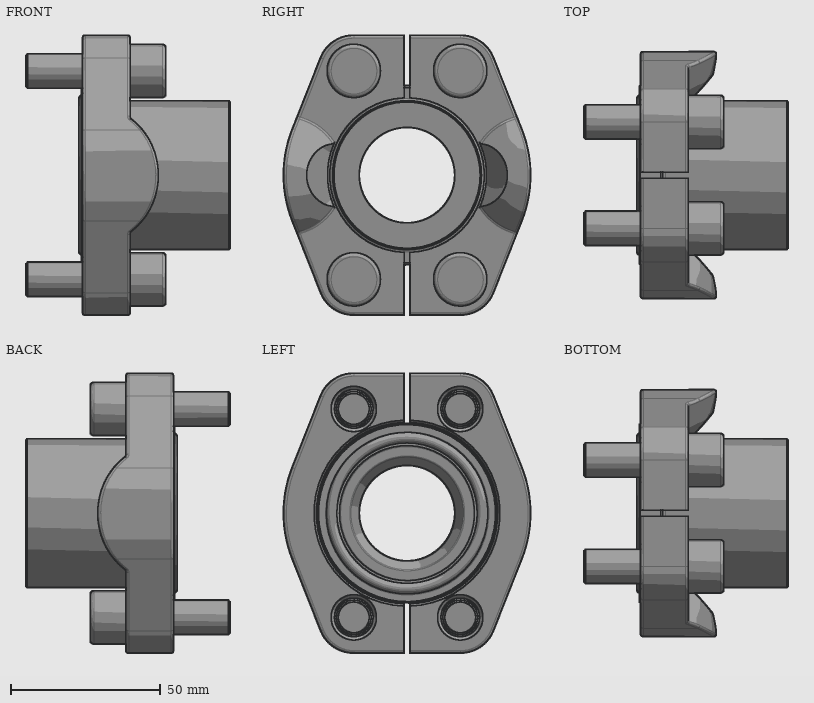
import cadquery as cq
import math


clamp_thickness = 16.0
clamp_height = 94.0
clamp_width = 83.0
clamp_gap = 2.0
rim_radius = 0.9
side_radius = clamp_width / 2

screw_y = 17.9
screw_z = 35.0
corner_radius = clamp_height / 2 - screw_z

screw_hole_diameter = 13.0
screw_hole_chamfer = 1.1

boss_radius = 25.5
boss_centre_y = 41.4
relief_start_radius = 26.7
relief_half_angle = 40.0

recess_diameter = 60.9
recess_chamfer = 0.75
clearance_diameter = 51.9

hub_length = 50.0
hub_projection = 0.5
hub_front = -hub_projection
hub_end = hub_front + hub_length
pipe_diameter = 50.0
pipe_end_chamfer = 0.5
collar_diameter = 60.35
collar_back = 7.5
collar_front_chamfer = 0.5
collar_back_chamfer = 0.75
collar_root_fillet = 0.75

bore_diameter = 32.0
mouth_diameter = 38.1
mouth_length = 5.0
mouth_fillet = 0.5
throat_fillet = 1.4

groove_outer_diameter = 54.2
groove_inner_diameter = 45.3
groove_depth = 2.7
groove_edge_fillet = 0.3

ring_thickness = 3.6

screw_length = 35.0
screw_diameter = 11.7
screw_tip_chamfer = 0.7
head_diameter = 18.0
head_height = 12.0
head_edge_fillet = 1.3
underhead_fillet = (screw_hole_diameter - screw_diameter) / 2


def cylinder_x(diameter, start, end, y=0, z=0):
    """Cylinder along X from start to end."""
    return cq.Workplane("YZ", origin=(start, y, z)).circle(diameter / 2).extrude(end - start)


def cone_x(start_radius, end_radius, start, end, y=0, z=0):
    """Cone along X whose radius changes from start_radius to end_radius."""
    base = cq.Vector(start, y, z)
    along_x = cq.Vector(1, 0, 0)
    return cq.Workplane(cq.Solid.makeCone(start_radius, end_radius, end - start, base, along_x))


def fillet_circle(body, x, diameter, radius):
    """Round the circular edge of the given diameter whose centre is at x."""
    tolerance = 0.01

    def is_wanted(edge):
        return (
            edge.geomType() == "CIRCLE"
            and abs(edge.Center().x - x) < tolerance
            and abs(edge.radius() - diameter / 2) < tolerance
        )

    return body.edges().filter(is_wanted).fillet(radius)




def half_outline():
    """Outline of the +Y half: a side arc about the pipe axis and corner arcs about the screws."""
    screw_distance = math.hypot(screw_y, screw_z)
    screw_angle = math.atan2(screw_z, screw_y)
    flank_angle = screw_angle - math.acos((side_radius - corner_radius) / screw_distance)
    middle_angle = (flank_angle + math.pi / 2) / 2

    side_y = side_radius * math.cos(flank_angle)
    side_z = side_radius * math.sin(flank_angle)
    corner_y = screw_y + corner_radius * math.cos(flank_angle)
    corner_z = screw_z + corner_radius * math.sin(flank_angle)
    middle_y = screw_y + corner_radius * math.cos(middle_angle)
    middle_z = screw_z + corner_radius * math.sin(middle_angle)
    split_y = clamp_gap / 2
    top_z = clamp_height / 2
    return (
        cq.Workplane("YZ")
        .moveTo(split_y, top_z)
        .lineTo(screw_y, top_z)
        .threePointArc((middle_y, middle_z), (corner_y, corner_z))
        .lineTo(side_y, side_z)
        .threePointArc((side_radius, 0), (side_y, -side_z))
        .lineTo(corner_y, -corner_z)
        .threePointArc((middle_y, -middle_z), (screw_y, -top_z))
        .lineTo(split_y, -top_z)
        .close()
    )


def clamp_blank():
    """Plate with its ball-shaped boss; the outer rims and the root of the boss are rounded."""
    ball = cq.Workplane(origin=(0, boss_centre_y, 0)).sphere(boss_radius)
    boss = half_outline().extrude(boss_radius).intersect(ball)
    blank = half_outline().extrude(clamp_thickness).union(boss)
    rims = blank.edges("not |X").filter(lambda edge: edge.Center().y > clamp_gap)
    return rims.fillet(rim_radius)


def pipe_passage():
    """Space for the hub: chamfered recess, hole around the pipe and relief of the bosses."""
    recess_radius = recess_diameter / 2
    relief_length = boss_radius - clamp_thickness
    relief_growth = relief_length * math.tan(math.radians(relief_half_angle))
    mouth = cone_x(recess_radius + recess_chamfer, recess_radius, 0, recess_chamfer)
    recess = cylinder_x(recess_diameter, 0, collar_back)
    hole = cylinder_x(clearance_diameter, 0, clamp_thickness)
    relief = cone_x(
        relief_start_radius, relief_start_radius + relief_growth, clamp_thickness, boss_radius
    )
    return mouth.union(recess).union(hole).union(relief)


def screw_hole(y, z):
    """Through hole with a chamfer at the front face."""
    radius = screw_hole_diameter / 2
    hole = cylinder_x(screw_hole_diameter, 0, clamp_thickness, y, z)
    chamfer = cone_x(radius + screw_hole_chamfer, radius, 0, screw_hole_chamfer, y, z)
    return hole.union(chamfer)


def clamp_half():
    """The +Y half of the split clamp."""
    half = clamp_blank().cut(pipe_passage())
    for z in (-screw_z, screw_z):
        half = half.cut(screw_hole(screw_y, z))
    return half




def hub():
    """Pipe stub with a collar, a bore with a tapered mouth and an O-ring groove."""
    pipe = cylinder_x(pipe_diameter, hub_front, hub_end).faces(">X").chamfer(pipe_end_chamfer)
    collar = cylinder_x(collar_diameter, hub_front, collar_back)
    collar = collar.faces("<X").chamfer(collar_front_chamfer)
    collar = collar.faces(">X").chamfer(collar_back_chamfer)
    body = fillet_circle(pipe.union(collar), collar_back, pipe_diameter, collar_root_fillet)

    mouth_end = hub_front + mouth_length
    body = body.cut(cylinder_x(bore_diameter, hub_front, hub_end))
    body = body.cut(cone_x(mouth_diameter / 2, bore_diameter / 2, hub_front, mouth_end))
    body = fillet_circle(body, mouth_end, bore_diameter, throat_fillet)
    body = fillet_circle(body, hub_front, mouth_diameter, mouth_fillet)

    groove_bottom = hub_front + groove_depth
    core = cylinder_x(groove_inner_diameter, hub_front, groove_bottom)
    body = body.cut(cylinder_x(groove_outer_diameter, hub_front, groove_bottom).cut(core))
    for diameter in (groove_inner_diameter, groove_outer_diameter):
        body = fillet_circle(body, hub_front, diameter, groove_edge_fillet)
    return body




def o_ring():
    """Ring that touches the bottom and the outer wall of the groove."""
    section_radius = ring_thickness / 2
    centre_radius = groove_outer_diameter / 2 - section_radius
    centre = cq.Vector(hub_front + groove_depth - section_radius, 0, 0)
    along_x = cq.Vector(1, 0, 0)
    return cq.Workplane(cq.Solid.makeTorus(centre_radius, section_radius, centre, along_x))




def cap_screw(y, z):
    """Cap screw whose head sits on the back of a clamp half and whose tip points to -X."""
    head_seat = clamp_thickness
    shank = cylinder_x(screw_diameter, head_seat - screw_length, head_seat, y, z)
    head = cylinder_x(head_diameter, head_seat, head_seat + head_height, y, z)
    shank = shank.faces("<X").chamfer(screw_tip_chamfer)
    head = head.faces(">X").edges().fillet(head_edge_fillet)
    return fillet_circle(shank.union(head), head_seat, screw_diameter, underhead_fillet)



right_clamp = clamp_half()
left_clamp = right_clamp.mirror("XZ")
pipe_hub = hub()
seal = o_ring()
screws = [cap_screw(y, z) for y in (-screw_y, screw_y) for z in (-screw_z, screw_z)]

result = cq.Compound.makeCompound(
    [
        right_clamp.val(),
        left_clamp.val(),
        pipe_hub.val(),
        seal.val(),
        *[screw.val() for screw in screws],
    ]
)